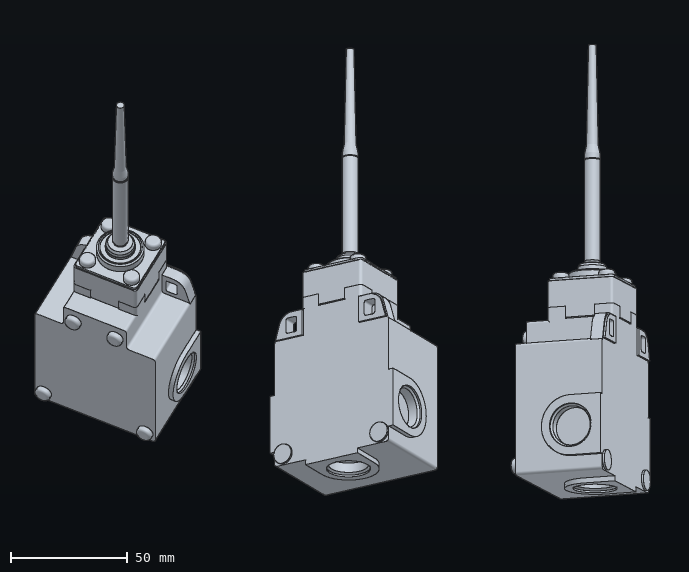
import cadquery as cq


column_size = 30.2
column_radius = 1.4
post_top_z = 77.2
key_width = 13.3
key_gap = 0.5

housing_width = 57.6
overall_width = 62.0
boss_height = (overall_width - housing_width) / 2
housing_front = -24.5
housing_back = column_size / 2
housing_bottom = boss_height
shoulder_z = 59.7
ledge_z = 71.9
edge_radius = 1.4

boss_radius = 13.1
entry_y = 1.3
entry_z = 22.1
entry_diameter = 17.0
entry_mouth_diameter = 18.8
entry_mouth_depth = 0.8
entry_depth = 6.0

ear_thickness = 5.5
ear_top_corner_x = 24.9
ear_foot_x = 28.7
ear_foot_z = 58.5
ear_corner_radius = 6.4
slot_x = 19.7
slot_z = 65.4
slot_width = 5.3
slot_height = 7.0
slot_radius = 1.0
pad_thickness = 0.9
upper_pad_inner_x = 14.2
upper_pad_inset = 0.5
lower_pad_diameter = 8.8

screw_diameter = 7.0
screw_height = 2.8
screw_rounding = 1.4
upper_screw_x = 10.0
upper_screw_z = 65.0
lower_screw_x = 24.2
lower_screw_z = 7.1
head_screw_offset = 10.5

head_top_z = 88.8
cover_size = 29.2
cover_top_z = 89.9
flange_diameter = 20.4
flange_top_diameter = 18.8
flange_top_z = 94.0
flange_chamfer_height = 0.6
flange_recess_diameter = 17.5
flange_recess_depth = 0.4
collar_base_diameter = 12.9
collar_base_height = 0.7
collar_diameter = 12.4
collar_chamfer_width = 0.8
collar_chamfer_height = 1.2
collar_top_z = 97.6

rod_diameter = 6.9
rod_foot_diameter = 5.8
rod_foot_height = 0.6
rod_foot_chamfer = 0.9
rod_top_z = 143.6
rod_top_chamfer = 0.4
ferrule_diameter = 6.8
ferrule_top_z = 145.9
whip_base_diameter = 5.2
whip_base_z = 149.6
tip_diameter = 3.4
tip_z = 193.3


def box_between(x_range, y_range, z_range):
    """Box spanning the given ranges along X, Y and Z."""
    size = [high - low for low, high in (x_range, y_range, z_range)]
    corner = (x_range[0], y_range[0], z_range[0])
    return cq.Workplane("XY").box(*size, centered=False).translate(corner)


def column(bottom_z, top_z):
    """Square column about the rod axis with rounded upright edges."""
    blank = cq.Workplane("XY").workplane(offset=bottom_z).rect(column_size, column_size)
    return blank.extrude(top_z - bottom_z).edges("|Z").fillet(column_radius)


def cross_key(bottom_z):
    """Cross of two bars that reach the column faces and fill the gaps between the posts."""
    height = post_top_z - bottom_z
    plane = cq.Workplane("XY").workplane(offset=bottom_z)
    bar_x = plane.rect(column_size, key_width).extrude(height)
    bar_y = plane.rect(key_width, column_size).extrude(height)
    return bar_x.union(bar_y)


def screw_head():
    """Rounded screw head standing on the XY plane."""
    blank = cq.Workplane("XY").circle(screw_diameter / 2).extrude(screw_height)
    return blank.faces(">Z").edges().fillet(screw_rounding)


def housing_block():
    """Stepped block: wide case below, narrow neck with a rounded ledge above."""
    depth = housing_back - housing_front
    half_width = housing_width / 2
    half_neck = column_size / 2
    profile = [
        (-half_width, housing_bottom),
        (half_width, housing_bottom),
        (half_width, shoulder_z),
        (half_neck, shoulder_z),
        (half_neck, ledge_z),
        (-half_neck, ledge_z),
        (-half_neck, shoulder_z),
        (-half_width, shoulder_z),
    ]
    block = cq.Workplane("XZ", origin=(0, housing_back, 0)).polyline(profile).close().extrude(depth)
    block = block.edges("|Y").fillet(edge_radius)
    neck_range = (-half_neck, half_neck)
    neck_front = column_radius - half_neck
    neck = box_between(neck_range, (neck_front, housing_back), (shoulder_z, ledge_z))
    return block.union(neck).union(column(shoulder_z, post_top_z))


def ear_with_pad():
    """Slotted mounting ear on the +X side, with a slightly smaller raised pad on its back."""
    total_thickness = ear_thickness + pad_thickness
    blank = (
        cq.Workplane("XZ", origin=(0, housing_back + pad_thickness, 0))
        .moveTo(0, ear_foot_z)
        .lineTo(ear_foot_x, ear_foot_z)
        .lineTo(ear_top_corner_x, ledge_z)
        .lineTo(0, ledge_z)
        .close()
        .extrude(total_thickness)
        .edges(cq.NearestToPointSelector((ear_top_corner_x, housing_back, ledge_z)))
        .fillet(ear_corner_radius)
    )
    ear_range = (housing_back - ear_thickness, housing_back)
    ear = blank.intersect(box_between((0, ear_foot_x), ear_range, (ear_foot_z, ledge_z)))
    pad_range = (housing_back, housing_back + pad_thickness)
    pad_zone = box_between((upper_pad_inner_x, ear_foot_x), pad_range, (shoulder_z, ledge_z))
    pad = blank.translate((-upper_pad_inset, 0, -upper_pad_inset)).intersect(pad_zone)
    slot = (
        cq.Workplane("XZ", origin=(slot_x, housing_back + pad_thickness, slot_z))
        .rect(slot_width, slot_height)
        .extrude(total_thickness)
        .edges("|Y")
        .fillet(slot_radius)
    )
    return ear.union(pad).cut(slot)


def lower_pad():
    """Round standoff pad on the back, opposite the lower screw on the +X side."""
    plane = cq.Workplane("XZ", origin=(lower_screw_x, housing_back, lower_screw_z))
    return plane.circle(lower_pad_diameter / 2).extrude(-pad_thickness)


def entry_plane(side):
    """Plane on an outer boss face, normal outward, local Y toward the back."""
    if side == "bottom":
        return cq.Plane(origin=(0, entry_y, 0), xDir=(-1, 0, 0), normal=(0, 0, -1))
    sign = -1 if side == "left" else 1
    origin = (sign * overall_width / 2, entry_y, entry_z)
    return cq.Plane(origin=origin, xDir=(0, 0, -sign), normal=(sign, 0, 0))


def entry_boss(plane):
    """U-shaped raised face around a conduit entry, open toward the back."""
    reach = housing_back - entry_y
    return (
        cq.Workplane(plane)
        .moveTo(-boss_radius, reach)
        .lineTo(-boss_radius, 0)
        .threePointArc((0, -boss_radius), (boss_radius, 0))
        .lineTo(boss_radius, reach)
        .close()
        .extrude(-boss_height)
    )


def entry_hole(plane):
    """Blind conduit hole whose wider mouth narrows to the bore through a 45 degree cone."""
    cone_depth = (entry_mouth_diameter - entry_diameter) / 2
    bore = cq.Workplane(plane).circle(entry_diameter / 2).extrude(-entry_depth)
    mouth = cq.Workplane(plane).circle(entry_mouth_diameter / 2).extrude(-entry_mouth_depth)
    cone = (
        cq.Workplane(plane)
        .workplane(offset=-entry_mouth_depth)
        .circle(entry_mouth_diameter / 2)
        .extrude(-cone_depth, taper=45)
    )
    return bore.union(mouth).union(cone)


def make_housing():
    """Case with ears, pads, conduit entries and lid screws."""
    body = housing_block()
    side_parts = ear_with_pad().union(lower_pad())
    body = body.union(side_parts).union(side_parts.mirror("YZ"))
    for side in ("left", "right", "bottom"):
        body = body.union(entry_boss(entry_plane(side)))
    for side in ("left", "right", "bottom"):
        body = body.cut(entry_hole(entry_plane(side)))
    lid_screw = screw_head().rotate((0, 0, 0), (1, 0, 0), 90)
    for x_distance, z in ((upper_screw_x, upper_screw_z), (lower_screw_x, lower_screw_z)):
        for x in (-x_distance, x_distance):
            body = body.union(lid_screw.translate((x, housing_front, z)))
    return body.cut(cross_key(ledge_z))


def revolve_about_z(half_profile):
    """Turned shape from (radius, height) points."""
    return cq.Workplane("XZ").polyline(half_profile).close().revolve(360, (0, 0, 0), (0, 1, 0))


def flange_and_collar():
    """Chamfered round flange with a shallow recess, carrying a collar with a wider foot ring."""
    collar_radius = collar_diameter / 2
    collar_base_top_z = flange_top_z + collar_base_height
    recess_floor_z = flange_top_z - flange_recess_depth
    return revolve_about_z([
        (0, cover_top_z),
        (flange_diameter / 2, cover_top_z),
        (flange_diameter / 2, flange_top_z - flange_chamfer_height),
        (flange_top_diameter / 2, flange_top_z),
        (flange_recess_diameter / 2, flange_top_z),
        (flange_recess_diameter / 2, recess_floor_z),
        (collar_base_diameter / 2, recess_floor_z),
        (collar_base_diameter / 2, collar_base_top_z),
        (collar_radius, collar_base_top_z),
        (collar_radius, collar_top_z - collar_chamfer_height),
        (collar_radius - collar_chamfer_width, collar_top_z),
        (0, collar_top_z),
    ])


def make_head():
    """Square head with a cross key below, cover, corner screws, flange and collar."""
    key_bottom_z = ledge_z + key_gap
    key = cross_key(key_bottom_z).intersect(column(key_bottom_z, post_top_z))
    body = column(post_top_z, head_top_z).union(key)
    cover = cq.Workplane("XY").workplane(offset=head_top_z).rect(cover_size, cover_size)
    cover = cover.extrude(cover_top_z - head_top_z).edges("|Z").fillet(column_radius)
    body = body.union(cover)
    for x in (-head_screw_offset, head_screw_offset):
        for y in (-head_screw_offset, head_screw_offset):
            body = body.union(screw_head().translate((x, y, cover_top_z)))
    return body.union(flange_and_collar())


def make_rod():
    """Turned actuator rod ending in a tapered whip, standing on the collar."""
    rod_radius = rod_diameter / 2
    ferrule_radius = ferrule_diameter / 2
    foot_top_z = collar_top_z + rod_foot_height
    return revolve_about_z([
        (0, collar_top_z),
        (rod_foot_diameter / 2, collar_top_z),
        (rod_foot_diameter / 2, foot_top_z),
        (rod_radius, foot_top_z + rod_foot_chamfer),
        (rod_radius, rod_top_z - rod_top_chamfer),
        (rod_radius - rod_top_chamfer, rod_top_z),
        (ferrule_radius, rod_top_z),
        (ferrule_radius, ferrule_top_z),
        (whip_base_diameter / 2, whip_base_z),
        (tip_diameter / 2, tip_z),
        (0, tip_z),
    ])


housing = make_housing().solids()
head = make_head().solids()
rod = make_rod().solids()

result = cq.Compound.makeCompound([housing.val(), head.val(), rod.val()])